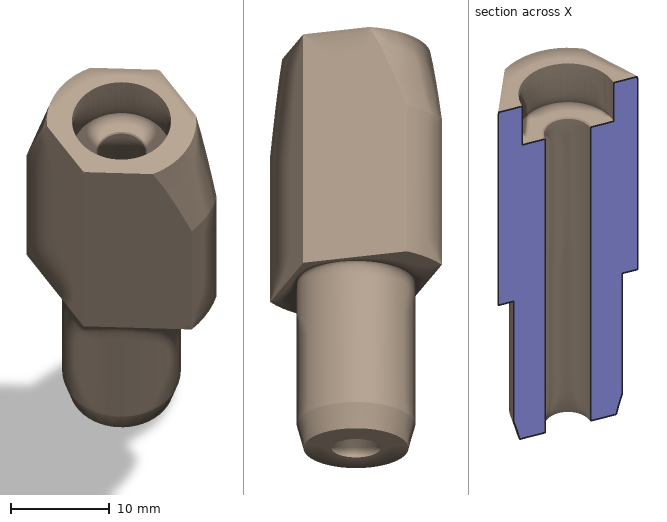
import cadquery as cq
import math

total_height = 43.0
head_height = 25.0
head_diameter = 20.0
apex_half_width = 7.65
flat_end_x = 9.68
head_top_radius = 7.55
taper_angle = math.radians(15)
shank_diameter = 12.0
shank_taper_height = 2.6
socket_diameter = 10.0
socket_depth = 5.0
bore_diameter = 4.9
bore_chamfer = 0.15

head_radius = head_diameter / 2
shank_radius = shank_diameter / 2
shank_height = total_height - head_height
shank_tip_radius = shank_radius - shank_taper_height * math.tan(taper_angle)
head_taper_height = (head_radius - head_top_radius) / math.tan(taper_angle)
flat_end_y = math.sqrt(head_radius**2 - flat_end_x**2)


def make_head():
    """Rhombic prism with round ends, tapered by a cone towards the top."""
    prism = (
        cq.Workplane("XY", origin=(0, 0, shank_height))
        .moveTo(0, apex_half_width)
        .lineTo(flat_end_x, flat_end_y)
        .threePointArc((head_radius, 0), (flat_end_x, -flat_end_y))
        .lineTo(0, -apex_half_width)
        .lineTo(-flat_end_x, -flat_end_y)
        .threePointArc((-head_radius, 0), (-flat_end_x, flat_end_y))
        .close()
        .extrude(head_height)
    )
    envelope = (
        cq.Workplane("XZ")
        .moveTo(0, shank_height)
        .lineTo(head_radius, shank_height)
        .lineTo(head_radius, total_height - head_taper_height)
        .lineTo(head_top_radius, total_height)
        .lineTo(0, total_height)
        .close()
        .revolve(360, (0, 0), (0, 1))
    )
    return prism.intersect(envelope)


def make_shank():
    """Round shank with a tapered lead-in at its lower end."""
    return (
        cq.Workplane("XZ")
        .lineTo(shank_tip_radius, 0)
        .lineTo(shank_radius, shank_taper_height)
        .lineTo(shank_radius, shank_height)
        .lineTo(0, shank_height)
        .close()
        .revolve(360, (0, 0), (0, 1))
    )


def make_bore():
    """Through bore with a wider socket at the top and a small chamfer at the socket floor."""
    bore_radius = bore_diameter / 2
    socket_floor = total_height - socket_depth
    through_bore = cq.Workplane("XY").circle(bore_radius).extrude(total_height)
    socket = (
        cq.Workplane("XY", origin=(0, 0, socket_floor))
        .circle(socket_diameter / 2)
        .extrude(socket_depth)
    )
    mouth_chamfer = (
        cq.Workplane("XZ")
        .moveTo(0, socket_floor - bore_chamfer)
        .lineTo(bore_radius, socket_floor - bore_chamfer)
        .lineTo(bore_radius + bore_chamfer, socket_floor)
        .lineTo(0, socket_floor)
        .close()
        .revolve(360, (0, 0), (0, 1))
    )
    return through_bore.union(socket).union(mouth_chamfer)


result = make_head().union(make_shank()).cut(make_bore())